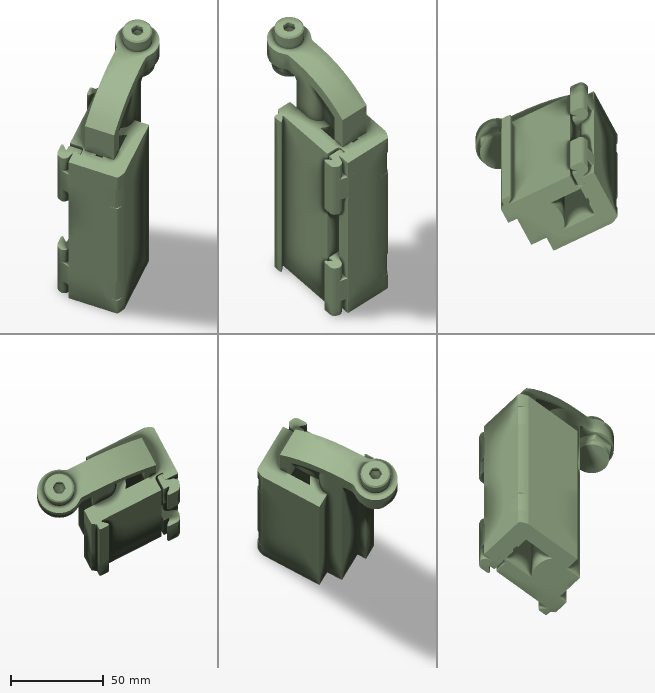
import cadquery as cq
import math


base_height = 120.0
base_right = 17.0
side_start_y = 4.9
base_shoulder_y = 40.0
jaw_back_y = 54.5
jaw_tip_x = -22.1
seat_x = -17.9
front_left_x = -13.8
gap_top_y = 12.4
gap_corner_radius = 2.0
groove_right_x = -9.6
groove_floor_y = 7.3
lip_top_y = 8.3
lip_left_x = -13.1
lip_right_x = -11.3
tooth_left_x = -11.1

arm_width = 17.0
arm_front_y = 10.6
arm_back_y = 49.2
arm_top_z = 156.0
eye_thickness = 12.0
eye_diameter = 24.0
eye_y = 65.2
neck_fillet = 5.0
throat_fillet = 3.0
crown_radius = 60.0
crown_start_y = 49.4
rim = 7.0
pocket_depth = 5.0
boss_y = 39.9
channel_end_radius = 13.5
keyway_width = 4.0
keyway_depth = 1.0

screw_diameter = 8.0
screw_clearance = 9.0
head_diameter = 16.0
head_height = 9.0
head_chamfer = 0.8
socket_corners = 6.92
socket_depth = 4.0
socket_drill = 5.9
socket_cone_height = 1.7
nut_flats = 19.0
nut_height = 4.9
nut_chamfer_height = 0.8
washer_diameter = 19.0
washer_height = 3.6

clamp_length = 38.0
clamp_inset = 0.5
clamp_arm_y = 10.9
hook_x = -18.45
hook_y = 5.22
hook_radius = hook_x - jaw_tip_x
strap_width = 16.2
strap_thickness = 5.5
strap_corner_x = -13.0
strap_press_x = 8.4
strap_bend_x = 13.6
strap_press_drop = 0.15

hook_bottom_y = hook_y - hook_radius
half_arm = arm_width / 2
eye_bottom_z = arm_top_z - eye_thickness
nut_bottom_z = eye_bottom_z - nut_height
washer_bottom_z = nut_bottom_z - washer_height
crown_center_z = arm_top_z - crown_radius
clamp_bottoms = (clamp_inset, base_height - clamp_inset - clamp_length)
strap_offset = (clamp_length - strap_width) / 2


def strap_slab(bottom_z):
    """Band across the base front face in which one strap lies."""
    length = base_right - front_left_x
    return (
        cq.Workplane("XY", origin=(front_left_x, 0, bottom_z + strap_offset))
        .box(length, strap_thickness, strap_width, centered=False)
    )


def make_base():
    """Extruded L-shaped rail with a fixed jaw, an arm channel and two strap grooves."""
    body = (
        cq.Workplane("XY")
        .moveTo(front_left_x, 0)
        .lineTo(14.1, 0)
        .lineTo(14.8, 0.2)
        .threePointArc((16.2, 2.6), (base_right, side_start_y))
        .lineTo(base_right, base_shoulder_y)
        .lineTo(half_arm, base_shoulder_y)
        .lineTo(half_arm, arm_back_y)
        .lineTo(-half_arm, arm_back_y)
        .lineTo(-half_arm, jaw_back_y)
        .lineTo(-17.0, jaw_back_y)
        .lineTo(-18.8, 52.0)
        .lineTo(-21.5, 52.0)
        .lineTo(jaw_tip_x, 51.4)
        .lineTo(jaw_tip_x, 47.2)
        .lineTo(-21.8, 46.3)
        .lineTo(-21.1, 46.3)
        .lineTo(-19.1, 48.4)
        .lineTo(-19.1, 48.9)
        .lineTo(seat_x, 48.9)
        .lineTo(seat_x, gap_top_y)
        .lineTo(groove_right_x - gap_corner_radius, gap_top_y)
        .radiusArc((groove_right_x, gap_top_y - gap_corner_radius), gap_corner_radius)
        .lineTo(groove_right_x, groove_floor_y)
        .lineTo(tooth_left_x, groove_floor_y)
        .lineTo(lip_right_x, lip_top_y)
        .lineTo(lip_left_x, lip_top_y)
        .lineTo(front_left_x, groove_floor_y)
        .close()
        .extrude(base_height)
    )

    channel_length = boss_y - arm_front_y
    channel = (
        cq.Workplane("XY", origin=(-half_arm, arm_front_y, 0))
        .box(arm_width, channel_length, base_height, centered=False)
        .cut(cq.Workplane("XY").center(0, boss_y).circle(channel_end_radius).extrude(base_height))
    )
    keyway = (
        cq.Workplane("XY", origin=(-keyway_width / 2, arm_front_y - keyway_depth, 0))
        .box(keyway_width, keyway_depth, base_height, centered=False)
    )
    body = body.cut(channel).cut(keyway)
    for bottom_z in clamp_bottoms:
        body = body.cut(strap_slab(bottom_z))
    return body


def make_clamp(bottom_z):
    """Sprung hook that faces the fixed jaw, with its strap across the base front."""
    hook = (
        cq.Workplane("XY", origin=(0, 0, bottom_z))
        .moveTo(jaw_tip_x, hook_y)
        .lineTo(jaw_tip_x, 9.9)
        .lineTo(-21.6, 10.4)
        .lineTo(-21.0, 10.4)
        .lineTo(-18.6, 7.8)
        .lineTo(seat_x, 7.8)
        .lineTo(seat_x, clamp_arm_y)
        .lineTo(-10.7, clamp_arm_y)
        .lineTo(-10.1, clamp_arm_y - 0.6)
        .lineTo(-10.1, groove_floor_y)
        .lineTo(tooth_left_x, groove_floor_y)
        .lineTo(lip_right_x, lip_top_y)
        .lineTo(lip_left_x, lip_top_y)
        .lineTo(front_left_x, groove_floor_y)
        .lineTo(hook_x + hook_radius, hook_y)
        .radiusArc((hook_x, hook_bottom_y), hook_radius)
        .lineTo(-20.3, 2.3)
        .threePointArc((-21.6, 3.5), (jaw_tip_x, hook_y))
        .close()
        .extrude(clamp_length)
    )
    strap = (
        cq.Workplane("XY", origin=(0, 0, bottom_z + strap_offset))
        .moveTo(hook_x, hook_y)
        .lineTo(hook_x, hook_bottom_y)
        .lineTo(strap_corner_x, 0)
        .lineTo(strap_press_x, 0)
        .lineTo(strap_bend_x, strap_press_drop)
        .threePointArc((15.9, 2.4), (base_right, side_start_y))
        .lineTo(base_right, strap_thickness)
        .lineTo(front_left_x, strap_thickness)
        .lineTo(front_left_x, hook_y)
        .close()
        .extrude(strap_width)
    )
    return hook.union(strap)


def crown_z(y, radius):
    """Height of an arc about the crown center at the given Y."""
    return crown_center_z + math.sqrt(radius**2 - (y - crown_start_y) ** 2)


def make_pocket(side):
    """Recess in one side of the arm: curved roof, straight front, boss at the back."""
    pocket_front = arm_front_y + rim
    roof_radius = crown_radius - rim
    middle_y = (pocket_front + boss_y) / 2
    recess = (
        cq.Workplane("YZ")
        .moveTo(pocket_front, base_height)
        .lineTo(boss_y, base_height)
        .lineTo(boss_y, crown_z(boss_y, roof_radius))
        .threePointArc(
            (middle_y, crown_z(middle_y, roof_radius)),
            (pocket_front, crown_z(pocket_front, roof_radius)),
        )
        .close()
        .extrude(pocket_depth)
        .translate((-half_arm if side < 0 else half_arm - pocket_depth, 0, 0))
    )
    boss = (
        cq.Workplane("XY", origin=(0, boss_y, base_height))
        .circle(half_arm)
        .extrude(arm_top_z - base_height)
    )
    return recess.cut(boss)


def make_arm():
    """Curved arm that stands on the base and carries the screw eye."""
    neck_y = arm_back_y + throat_fillet
    crown_middle_y = (crown_start_y + arm_front_y) / 2
    throat_center_z = eye_bottom_z - throat_fillet
    throat_reach = throat_fillet * (1 - math.sqrt(0.5))
    leg = (
        cq.Workplane("YZ")
        .moveTo(arm_front_y, base_height)
        .lineTo(arm_back_y, base_height)
        .lineTo(arm_back_y, throat_center_z)
        .threePointArc(
            (arm_back_y + throat_reach, eye_bottom_z - throat_reach),
            (neck_y, eye_bottom_z),
        )
        .lineTo(neck_y, arm_top_z)
        .lineTo(crown_start_y, arm_top_z)
        .threePointArc(
            (crown_middle_y, crown_z(crown_middle_y, crown_radius)),
            (arm_front_y, crown_z(arm_front_y, crown_radius)),
        )
        .close()
        .extrude(half_arm, both=True)
    )

    eye_radius = eye_diameter / 2
    fillet_x = half_arm + neck_fillet
    center_distance = eye_radius + neck_fillet
    fillet_drop = math.sqrt(center_distance**2 - fillet_x**2)
    fillet_y = eye_y - fillet_drop
    touch_x = fillet_x * eye_radius / center_distance
    touch_y = eye_y - fillet_drop * eye_radius / center_distance
    half_turn = math.atan2(fillet_drop, fillet_x) / 2
    bulge_x = fillet_x - neck_fillet * math.cos(half_turn)
    bulge_y = fillet_y + neck_fillet * math.sin(half_turn)
    eye = (
        cq.Workplane("XY", origin=(0, 0, eye_bottom_z))
        .moveTo(-half_arm, neck_y)
        .lineTo(half_arm, neck_y)
        .lineTo(half_arm, fillet_y)
        .threePointArc((bulge_x, bulge_y), (touch_x, touch_y))
        .threePointArc((0, eye_y + eye_radius), (-touch_x, touch_y))
        .threePointArc((-bulge_x, bulge_y), (-half_arm, fillet_y))
        .close()
        .extrude(eye_thickness)
    )
    hole = (
        cq.Workplane("XY", origin=(0, eye_y, eye_bottom_z))
        .circle(screw_clearance / 2)
        .extrude(eye_thickness)
    )
    body = leg.union(eye).cut(hole)
    for side in (-1, 1):
        body = body.cut(make_pocket(side))
    return body


def make_screw():
    """Socket-head screw through the eye, flush with the washer below."""
    head_top_z = arm_top_z + head_height
    head = (
        cq.Workplane("XY", origin=(0, eye_y, arm_top_z))
        .circle(head_diameter / 2)
        .extrude(head_height)
        .faces(">Z")
        .chamfer(head_chamfer)
    )
    shank = (
        cq.Workplane("XY", origin=(0, eye_y, washer_bottom_z))
        .circle(screw_diameter / 2)
        .extrude(arm_top_z - washer_bottom_z)
    )
    socket = (
        cq.Workplane("XY", origin=(0, eye_y, head_top_z - socket_depth))
        .polygon(6, socket_corners)
        .extrude(socket_depth)
    )
    drill_tip = cq.Workplane(
        cq.Solid.makeCone(
            0,
            socket_drill / 2,
            socket_cone_height,
            pnt=cq.Vector(0, eye_y, head_top_z - socket_depth - socket_cone_height),
        )
    )
    countersink_depth = (socket_corners - socket_drill) / 2
    countersink = cq.Workplane(
        cq.Solid.makeCone(
            socket_drill / 2,
            socket_corners / 2,
            countersink_depth,
            pnt=cq.Vector(0, eye_y, head_top_z - countersink_depth),
        )
    )
    return head.union(shank).cut(socket).cut(drill_tip).cut(countersink)


def make_nut():
    """Hexagon nut under the eye, its corners pointing along Y, both faces chamfered."""
    corners = nut_flats / math.cos(math.pi / 6)
    corner_radius = corners / 2
    hexagon = (
        cq.Workplane("XY", origin=(0, eye_y, nut_bottom_z))
        .transformed(rotate=(0, 0, 90))
        .polygon(6, corners)
        .circle(screw_diameter / 2)
        .extrude(nut_height)
    )
    chamfer_envelope = (
        cq.Workplane("XZ", origin=(0, eye_y, 0))
        .moveTo(0, nut_bottom_z)
        .lineTo(nut_flats / 2, nut_bottom_z)
        .lineTo(corner_radius, nut_bottom_z + nut_chamfer_height)
        .lineTo(corner_radius, eye_bottom_z - nut_chamfer_height)
        .lineTo(nut_flats / 2, eye_bottom_z)
        .lineTo(0, eye_bottom_z)
        .close()
        .revolve(360, (0, 0, 0), (0, 1, 0))
    )
    return hexagon.intersect(chamfer_envelope)


def make_washer():
    """Round disc under the nut."""
    return (
        cq.Workplane("XY", origin=(0, eye_y, washer_bottom_z))
        .circle(washer_diameter / 2)
        .circle(screw_diameter / 2)
        .extrude(washer_height)
    )


base = make_base()
arm = make_arm()
screw = make_screw()
nut = make_nut()
washer = make_washer()
clamps = [make_clamp(bottom_z) for bottom_z in clamp_bottoms]

result = cq.Compound.makeCompound(
    [base.val(), arm.val(), screw.val(), nut.val(), washer.val(), *[clamp.val() for clamp in clamps]]
)